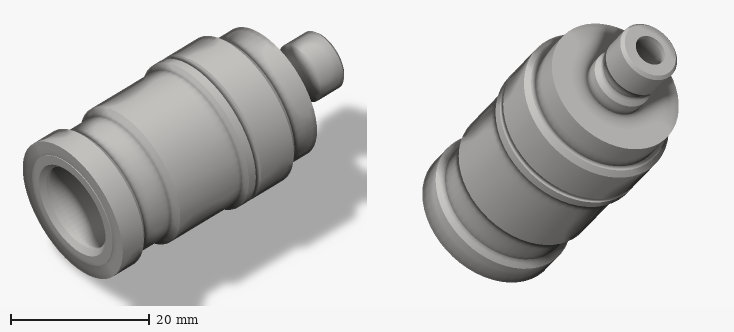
import cadquery as cq

total_length = 48.0

body_radius = 11.25
lip_height = 0.1
lip_radius = 9.0
waist_radius = 10.2
waist_bevel = body_radius - waist_radius
waist_front = 4.1
waist_back = 11.0

collar_radius = 12.0
collar_bevel = collar_radius - body_radius
collar_front = 22.6
groove_front = 24.65
groove_floor_front = 24.75
groove_floor_back = 25.1
groove_back = 25.7
collar_back = 32.65
cap_radius = 10.5
cap_back = 37.55

stem_radius = 4.7
neck_radius = 3.75
neck_bevel = stem_radius - neck_radius
neck_front = 39.85
neck_back = 43.2
tip_bevel = 0.5

bore_radius = 6.7
bore_mouth_bevel = 0.75
bore_depth = collar_back
through_hole_radius = 2.4


def revolve_about_y(points):
    """Turn an outline of (radius, Y) points into a solid about the Y axis."""
    return cq.Workplane("XY").polyline(points).close().revolve(360, (0, 0, 0), (0, 1, 0))


def make_outside():
    lip = [(0, 0), (lip_radius, 0), (lip_radius, lip_height)]
    body = [
        (body_radius, lip_height),
        (body_radius, waist_front),
        (waist_radius, waist_front + waist_bevel),
        (waist_radius, waist_back - waist_bevel),
        (body_radius, waist_back),
        (body_radius, collar_front),
    ]
    collar = [
        (collar_radius, collar_front + collar_bevel),
        (collar_radius, groove_front),
        (body_radius, groove_floor_front),
        (body_radius, groove_floor_back),
        (collar_radius, groove_back),
        (collar_radius, collar_back - collar_bevel),
        (body_radius, collar_back),
    ]
    cap = [(cap_radius, collar_back), (cap_radius, cap_back)]
    stem = [
        (stem_radius, cap_back),
        (stem_radius, neck_front),
        (neck_radius, neck_front + neck_bevel),
        (neck_radius, neck_back - neck_bevel),
        (stem_radius, neck_back),
        (stem_radius, total_length - tip_bevel),
        (stem_radius - tip_bevel, total_length),
        (0, total_length),
    ]
    return revolve_about_y(lip + body + collar + cap + stem)


def make_bore():
    return revolve_about_y([
        (0, 0),
        (bore_radius + bore_mouth_bevel, 0),
        (bore_radius, bore_mouth_bevel),
        (bore_radius, bore_depth),
        (through_hole_radius, bore_depth),
        (through_hole_radius, total_length),
        (0, total_length),
    ])


result = make_outside().cut(make_bore())